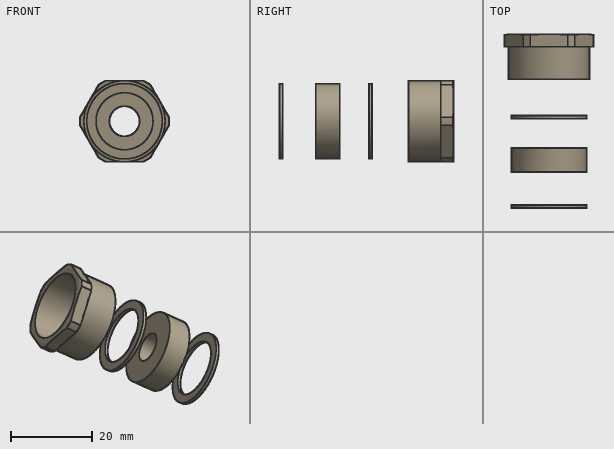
import cadquery as cq
import math


ACROSS_FLATS = 20.0
CORNER_RADIUS = 11.0
HEAD_LENGTH = 3.1
NUT_LENGTH = 11.1
SLEEVE_RADIUS = ACROSS_FLATS / 2
NUT_BORE_RADIUS = 8.55
CHAMFER_DEPTH = 0.15

DISC_RADIUS = 9.3
SEAL_HOLE_RADIUS = 3.7
SEAL_START = 28.0
SEAL_LENGTH = 6.0

WASHER_HOLE_RADIUS = 7.03
WASHER_THICKNESS = 0.85
TOTAL_LENGTH = 42.85
WASHER_STARTS = (20.0, TOTAL_LENGTH - WASHER_THICKNESS)


def cylinder(radius, start, length):
    """Solid cylinder on the Y axis, extending forward from its start distance."""
    return cq.Workplane("XZ", origin=(0, -start, 0)).circle(radius).extrude(length)


def ring(outer_radius, hole_radius, start, length):
    """Cylinder with a through hole."""
    return cylinder(outer_radius, start, length).cut(cylinder(hole_radius, start, length))


def make_head_envelope():
    """Turned shape that rounds the hexagon corners and chamfers their back edges."""
    profile = [
        (0, 0),
        (ACROSS_FLATS / 2, 0),
        (CORNER_RADIUS, -CHAMFER_DEPTH),
        (CORNER_RADIUS, -HEAD_LENGTH),
        (0, -HEAD_LENGTH),
    ]
    return cq.Workplane("XY").polyline(profile).close().revolve(360, (0, 0, 0), (0, 1, 0))


def make_nut():
    across_corners = ACROSS_FLATS / math.cos(math.pi / 6)
    hexagon = cq.Workplane("XZ").polygon(6, across_corners).extrude(HEAD_LENGTH)
    head = hexagon.intersect(make_head_envelope())
    sleeve = cylinder(SLEEVE_RADIUS, HEAD_LENGTH, NUT_LENGTH - HEAD_LENGTH)
    bore = cylinder(NUT_BORE_RADIUS, 0, NUT_LENGTH)
    return head.union(sleeve).cut(bore)


def make_seal():
    return ring(DISC_RADIUS, SEAL_HOLE_RADIUS, SEAL_START, SEAL_LENGTH)


def make_washer(start):
    return ring(DISC_RADIUS, WASHER_HOLE_RADIUS, start, WASHER_THICKNESS)


nut = make_nut()
seal = make_seal()
washers = [make_washer(start) for start in WASHER_STARTS]

result = cq.Compound.makeCompound([nut.val(), seal.val(), *[washer.val() for washer in washers]])